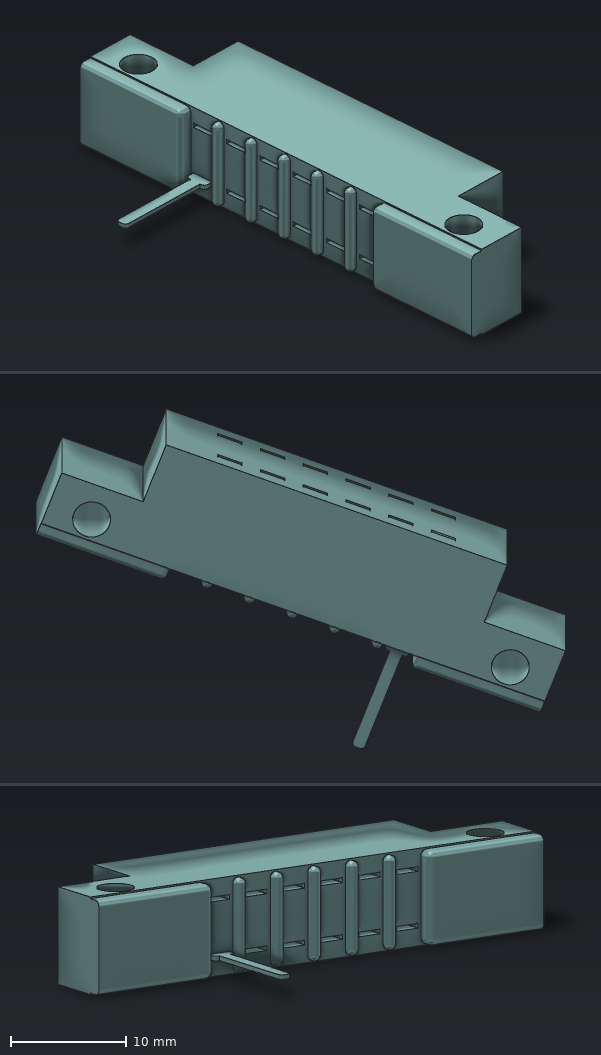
import cadquery as cq

overall_length = 46.8
overall_depth = 21.1
housing_height = 8.7
housing_depth = 10.7
mating_length = 31.7
ear_depth = 5.05

mounting_hole_diameter = 3.28
mounting_hole_spacing = 38.9
mounting_hole_setback = 1.9

relief_inset = 0.15
relief_height = housing_height - 2 * relief_inset
pad_length = 12.03
pad_projection = 1.3
pad_edge_radius = 0.55
rib_width = 1.05
rib_projection = 0.75
rib_nose_flat = 0.01
rib_edge_radius = (rib_width - rib_nose_flat) / 2
rib_span = 15.8

contacts_per_row = 6
contact_span = 19.85
contact_pitch = contact_span / (contacts_per_row - 1)
row_spacing = 5.05
slot_width = 2.25
slot_height = 0.4

pin_x = -contact_span / 2
pin_z = -row_spacing / 2
head_projection = 1.0
head_corner_radius = 0.4
tail_width = 1.15
tail_tip_y = housing_depth - overall_depth
tail_corner_radius = 0.4


def raised_block(x_min, x_max, projection):
    """Block standing on the front face and projecting toward -Y."""
    return (
        cq.Workplane("XY")
        .box(x_max - x_min, projection, relief_height, centered=(False, False, True))
        .translate((x_min, -projection, 0))
    )


def make_left_pad():
    """Pad in front of the left ear, rounded on its front edges and around its inner end."""
    left_end = -overall_length / 2
    pad = raised_block(left_end, left_end + pad_length, pad_projection)
    front_and_inner_edges = pad.edges("<Y or >X").edges("not(<X or >Y)")
    return front_and_inner_edges.fillet(pad_edge_radius)


def make_rib(x_center):
    """Separator rib between two neighbouring contact positions, rounded off almost to a full nose."""
    rib = raised_block(x_center - rib_width / 2, x_center + rib_width / 2, rib_projection)
    return rib.edges("not >Y").fillet(rib_edge_radius)


def make_slot_cutters():
    """Rectangular bars that cut every contact slot from front to back."""
    return (
        cq.Workplane("XZ")
        .rarray(contact_pitch, row_spacing, contacts_per_row, 2)
        .rect(slot_width, slot_height)
        .extrude(-housing_depth)
    )


def make_housing():
    """Insulator with ears, mounting holes, front relief and contact slots."""
    ears = cq.Workplane("XY").box(
        overall_length, ear_depth, housing_height, centered=(True, False, True)
    )
    mating_block = cq.Workplane("XY").box(
        mating_length, housing_depth, housing_height, centered=(True, False, True)
    )
    body = ears.union(mating_block)

    mounting_holes = (
        cq.Workplane("XY", origin=(0, mounting_hole_setback, -housing_height / 2))
        .rarray(mounting_hole_spacing, 0.45, 2, 1)
        .circle(mounting_hole_diameter / 2)
        .extrude(housing_height)
    )
    body = body.cut(mounting_holes)

    left_pad = make_left_pad()
    body = body.union(left_pad).union(left_pad.mirror("YZ"))

    rib_count = contacts_per_row - 1
    rib_pitch = rib_span / (rib_count - 1)
    for index in range(rib_count):
        body = body.union(make_rib(-rib_span / 2 + index * rib_pitch))

    return body.cut(make_slot_cutters())


def make_contact_pin():
    """Flat contact: a wide head that fills its slot and a narrow tail toward -Y."""
    head = (
        cq.Workplane("XY")
        .box(slot_width, housing_depth + head_projection, slot_height, centered=(True, False, True))
        .translate((0, -head_projection, 0))
        .edges("|Z and <Y")
        .fillet(head_corner_radius)
    )
    tail = (
        cq.Workplane("XY")
        .box(tail_width, -tail_tip_y, slot_height, centered=(True, False, True))
        .translate((0, tail_tip_y, 0))
        .edges("|Z and <Y")
        .fillet(tail_corner_radius)
    )
    return head.union(tail).translate((pin_x, 0, pin_z))


housing = make_housing()
contact_pin = make_contact_pin()
result = cq.Compound.makeCompound([housing.val(), contact_pin.val()])